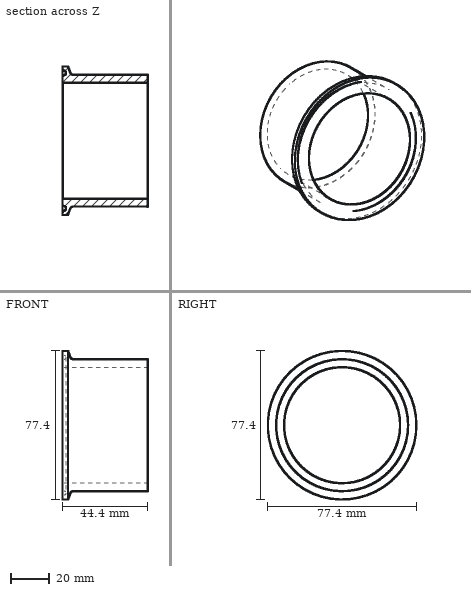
import cadquery as cq
import math

length = 44.4
flange_radius = 77.4 / 2
tube_radius = 68.8 / 2
bore_radius = 60.2 / 2

rim_width = 2.95
cone_angle = math.radians(20)
neck_fillet = 1.6

groove_center_radius = 35.3
groove_half_width = 2.0
groove_wall_angle = math.radians(70)
groove_bottom_fillet = 1.15
groove_lip_fillet = 0.8

edge_chamfer = 0.15


def revolve_about_x(profile):
    """Close a profile drawn as (X, radius) points and revolve it around the X axis."""
    return profile.close().revolve(360, (0, 0, 0), (1, 0, 0))


def arc_point(center, radius, angle):
    """Point on a circle, with the angle measured from +X."""
    return (center[0] + radius * math.cos(angle), center[1] + radius * math.sin(angle))


def ferrule_body():
    """Flange, cone, neck fillet and tube, with the bore open along X."""
    fillet_center_radius = tube_radius + neck_fillet
    tangent_radius = fillet_center_radius - neck_fillet * math.sin(cone_angle)
    tangent_x = rim_width + (flange_radius - tangent_radius) * math.tan(cone_angle)
    fillet_center = (tangent_x + neck_fillet * math.cos(cone_angle), fillet_center_radius)
    middle_angle = math.pi + (cone_angle + math.pi / 2) / 2
    fillet_middle = arc_point(fillet_center, neck_fillet, middle_angle)
    fillet_end = (fillet_center[0], tube_radius)

    profile = (
        cq.Workplane("XY")
        .moveTo(0, bore_radius + edge_chamfer)
        .lineTo(0, flange_radius)
        .lineTo(rim_width, flange_radius)
        .lineTo(tangent_x, tangent_radius)
        .threePointArc(fillet_middle, fillet_end)
        .lineTo(length - edge_chamfer, tube_radius)
        .lineTo(length, tube_radius - edge_chamfer)
        .lineTo(length, bore_radius)
        .lineTo(edge_chamfer, bore_radius)
    )
    return revolve_about_x(profile)


def gasket_groove():
    """Ring of material to cut from the clamp face."""
    lip_middle_depth = groove_lip_fillet * (1 - math.cos(groove_wall_angle / 2))
    lip_middle_offset = groove_half_width - groove_lip_fillet * math.sin(groove_wall_angle / 2)
    wall_top_depth = groove_lip_fillet * (1 - math.cos(groove_wall_angle))
    wall_top_offset = groove_half_width - groove_lip_fillet * math.sin(groove_wall_angle)
    wall_foot_offset = groove_bottom_fillet * math.sin(groove_wall_angle)
    wall_depth = (wall_top_offset - wall_foot_offset) * math.tan(groove_wall_angle)
    wall_foot_depth = wall_top_depth + wall_depth
    groove_depth = wall_foot_depth + groove_bottom_fillet * (1 - math.cos(groove_wall_angle))

    def section_point(depth, offset):
        return (depth, groove_center_radius + offset)

    profile = (
        cq.Workplane("XY")
        .moveTo(*section_point(0, -groove_half_width))
        .threePointArc(
            section_point(lip_middle_depth, -lip_middle_offset),
            section_point(wall_top_depth, -wall_top_offset),
        )
        .lineTo(*section_point(wall_foot_depth, -wall_foot_offset))
        .threePointArc(
            section_point(groove_depth, 0),
            section_point(wall_foot_depth, wall_foot_offset),
        )
        .lineTo(*section_point(wall_top_depth, wall_top_offset))
        .threePointArc(
            section_point(lip_middle_depth, lip_middle_offset),
            section_point(0, groove_half_width),
        )
    )
    return revolve_about_x(profile)


result = ferrule_body().cut(gasket_groove())